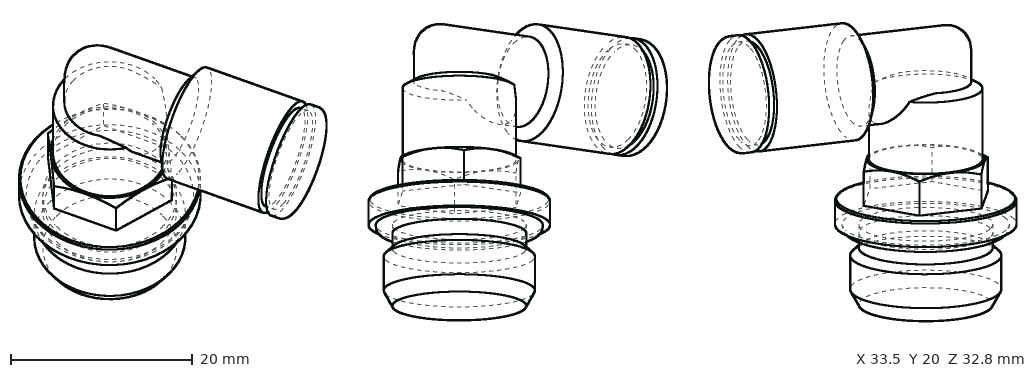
import cadquery as cq
import math

flange_diameter = 20.0
total_length = 33.5
total_height = 32.8
arm_end = total_length - flange_diameter / 2

thread_diameter = 16.65
neck_diameter = 14.75
lead_in_top = 1.75
thread_top = 5.6
neck_bottom = 6.45
seal_bottom = 8.17
flange_bottom = 9.1
flange_top = 12.03
flange_chamfer_height = 0.25
flange_chamfer_width = 0.17
hex_top = 16.48
hex_width = 13.0
hex_corner_radius = hex_width / 2 / math.cos(math.radians(30))
hex_chamfer_angle = 30

seal_diameter = 18.4
seal_round = 0.8

sleeve_diameter = 12.5
sleeve_shoulder = 24.55
sleeve_top = 25.25
pipe_radius = 10.0 / 2
socket_diameter = 13.0
arm_height = total_height - socket_diameter / 2
socket_start = 8.45
socket_chamfer_length = 0.9
socket_end = 20.97
corner_angle = 30
corner_sections = 13
sewing_tolerance = 0.0001

collar_neck_diameter = 11.5
collar_head_start = 21.9
collar_round = 0.67


def make_stem():
    """Threaded end, neck, flange and chamfered hexagon in one piece."""
    flange_radius = flange_diameter / 2
    turned = (
        cq.Workplane("XZ")
        .moveTo(0, 0)
        .lineTo(neck_diameter / 2, 0)
        .lineTo(thread_diameter / 2, lead_in_top)
        .lineTo(thread_diameter / 2, thread_top)
        .lineTo(neck_diameter / 2, neck_bottom)
        .lineTo(neck_diameter / 2, flange_bottom)
        .lineTo(flange_radius, flange_bottom)
        .lineTo(flange_radius, flange_top - flange_chamfer_height)
        .lineTo(flange_radius - flange_chamfer_width, flange_top)
        .lineTo(0, flange_top)
        .close()
        .revolve()
    )
    hexagon = (
        cq.Workplane("XY", origin=(0, 0, flange_top))
        .polygon(6, 2 * hex_corner_radius)
        .extrude(hex_top - flange_top)
    )
    corner_drop = (hex_corner_radius - hex_width / 2) * math.tan(math.radians(hex_chamfer_angle))
    chamfer_envelope = (
        cq.Workplane("XZ")
        .moveTo(0, flange_top)
        .lineTo(hex_corner_radius, flange_top)
        .lineTo(hex_corner_radius, hex_top - corner_drop)
        .lineTo(hex_width / 2, hex_top)
        .lineTo(0, hex_top)
        .close()
        .revolve()
    )
    return turned.union(hexagon.intersect(chamfer_envelope))


def make_seal():
    """Ring around the neck, against the underside of the flange."""
    return (
        cq.Workplane("XY", origin=(0, 0, seal_bottom))
        .circle(seal_diameter / 2)
        .circle(neck_diameter / 2)
        .extrude(flange_bottom - seal_bottom)
        .faces("<Z")
        .edges(cq.selectors.RadiusNthSelector(-1))
        .fillet(seal_round)
    )


def corner_reach(angle):
    """Distance from the axis crossing to the rounded corner, at an angle above -X."""
    center = pipe_radius * math.tan(math.radians(corner_angle))
    radius = pipe_radius - center
    along = center * (math.cos(angle) + math.sin(angle))
    across = center * (math.cos(angle) - math.sin(angle))
    return along + math.sqrt(radius**2 - across**2)


def bend_edge(angle):
    """Half ellipse from -Y to +Y where a plane at an angle above -X cuts the bend."""
    outward = cq.Vector(-math.cos(angle), 0, math.sin(angle))
    normal = outward.cross(cq.Vector(0, 1, 0))
    center = cq.Vector(0, 0, arm_height)
    return cq.Edge.makeEllipse(corner_reach(angle), pipe_radius, center, normal, outward, -90, 90)


def make_rounded_wedge():
    """Middle of the bend, whose rounding shrinks to nothing at both sides of the pipe."""
    first_angle = math.radians(corner_angle)
    angle_step = (math.pi / 2 - 2 * first_angle) / (corner_sections - 1)
    edges = [bend_edge(first_angle + angle_step * i) for i in range(corner_sections)]
    skin = cq.occ_impl.shapes.loft(*edges)
    hinge = cq.Edge.makeLine(
        cq.Vector(0, -pipe_radius, arm_height),
        cq.Vector(0, pipe_radius, arm_height),
    )
    end_faces = [
        cq.Face.makeFromWires(cq.Wire.assembleEdges([edge, hinge]))
        for edge in (edges[0], edges[-1])
    ]
    shell = cq.occ_impl.shapes.shell(skin, *end_faces, tol=sewing_tolerance)
    return cq.Workplane(obj=cq.occ_impl.shapes.solid(shell))


def upright_pipe(bottom, top):
    """Round bar of the pipe's size on the Z axis."""
    return cq.Workplane("XY", origin=(0, 0, bottom)).circle(pipe_radius).extrude(top - bottom)


def level_pipe(start, end):
    """Round bar of the pipe's size on the arm axis."""
    return cq.Workplane("YZ", origin=(start, 0, arm_height)).circle(pipe_radius).extrude(end - start)


def make_bend():
    """Outer quarter of the elbow: two mitred pipe ends with the rounded wedge between them."""
    mitre = level_pipe(-pipe_radius, 0).intersect(upright_pipe(arm_height, arm_height + pipe_radius))
    far_side = 2 * pipe_radius
    near_side = far_side * math.tan(math.radians(corner_angle))
    wedge_space = (
        cq.Workplane("XZ", origin=(0, 0, arm_height))
        .polyline([(0, 0), (-far_side, near_side), (-far_side, far_side), (-near_side, far_side)])
        .close()
        .extrude(far_side, both=True)
    )
    return mitre.cut(wedge_space).union(make_rounded_wedge())


def make_elbow():
    """Sleeve on the hexagon, bent pipe and tube socket in one piece."""
    sleeve = (
        cq.Workplane("XZ")
        .moveTo(0, hex_top)
        .lineTo(sleeve_diameter / 2, hex_top)
        .lineTo(sleeve_diameter / 2, sleeve_shoulder)
        .lineTo(pipe_radius, sleeve_top)
        .lineTo(0, sleeve_top)
        .close()
        .revolve()
    )
    socket = (
        cq.Workplane("XY", origin=(0, 0, arm_height))
        .moveTo(socket_start, 0)
        .lineTo(socket_start, pipe_radius)
        .lineTo(socket_start + socket_chamfer_length, socket_diameter / 2)
        .lineTo(socket_end, socket_diameter / 2)
        .lineTo(socket_end, 0)
        .close()
        .revolve(360, (0, 0), (1, 0))
    )
    return (
        sleeve
        .union(upright_pipe(hex_top, arm_height))
        .union(level_pipe(0, socket_start))
        .union(make_bend())
        .union(socket)
    )


def make_collar():
    """Release collar with a narrower neck against the end of the socket."""
    neck = (
        cq.Workplane("YZ", origin=(socket_end, 0, arm_height))
        .circle(collar_neck_diameter / 2)
        .extrude(collar_head_start - socket_end)
    )
    head = (
        cq.Workplane("YZ", origin=(collar_head_start, 0, arm_height))
        .circle(socket_diameter / 2)
        .extrude(arm_end - collar_head_start)
        .faces(">X")
        .edges()
        .fillet(collar_round)
    )
    return neck.union(head)


stem = make_stem().solids()
seal = make_seal().solids()
elbow = make_elbow().solids()
collar = make_collar().solids()

result = cq.Compound.makeCompound([stem.val(), seal.val(), elbow.val(), collar.val()])